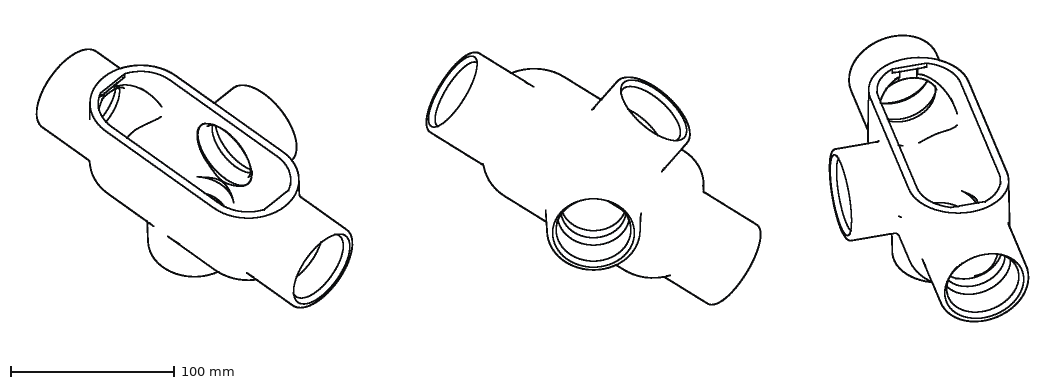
import cadquery as cq
import math


half_straight = 45.3
half_width = 31.75
wall = 5.08
rim_z = 34.36
base_z = -31.2
draft = 1.0
base_round = 12.7
cavity_half_width = half_width - wall
cavity_round = base_round - wall
floor_z = base_z + wall

lug_face_x = 69.0
lug_thickness = 3.2
slot_width = 11.5
slot_x = 73.0

hub_radius = 57.15 / 2
end_hub_x = 214.51 / 2
side_hub_y = 93.87 - half_width
base_hub_z = 95.22 - rim_z
base_hub_draft = 2.0
hub_edge_round = 1.75
base_hub_edge_round = 3.0
junction_round = 2.5

mouth_radius = 25.1
mouth_chamfer_depth = 3.4
thread_radius = 22.9
thread_end_radius = 22.1
thread_end_depth = 20.1
socket_depth = 25.2
throat_radius = 20.0
lip_round = 2.4

base_clearance_radius = 48.41 / 2
base_clearance_top_radius = 25.2
side_clearance_radius = 23.0
side_lip_y = 27.4

end_pocket_radius = -floor_z
end_pocket_round = 3.6
end_pocket_x = 73.0

seam_tolerance = 0.001


def obround_half(radius, height, rounding=0):
    """Obround prism from Z = 0 to the given height, tapering inwards."""
    half = (
        cq.Workplane("XY")
        .slot2D(2 * (half_straight + radius), 2 * radius)
        .extrude(height, taper=draft)
    )
    if rounding:
        half = half.faces("<Z").edges().fillet(rounding)
    return half


def drafted_obround(radius, top, bottom, rounding):
    upper = obround_half(radius, top)
    lower = obround_half(radius, bottom, rounding)
    return upper.union(lower)


def turned(profile, direction):
    """Revolve an (axial, radial) profile about the X axis, then aim it."""
    solid = profile.close().revolve(360, (0, 0, 0), (1, 0, 0))
    if direction == "-X":
        return solid.rotate((0, 0, 0), (0, 0, 1), 180)
    if direction == "+Y":
        return solid.rotate((0, 0, 0), (0, 0, 1), 90)
    if direction == "-Z":
        return solid.rotate((0, 0, 0), (0, 1, 0), 90)
    return solid


def hub_blank(reach, edge_round, taper_angle, direction):
    """Solid hub with a rounded outer edge, starting at the hub-axes crossing."""
    tangent_x = reach - edge_round
    root_radius = hub_radius + tangent_x * math.tan(math.radians(taper_angle))
    profile = (
        cq.Workplane("XZ")
        .lineTo(0, root_radius)
        .lineTo(tangent_x, hub_radius)
        .radiusArc((reach, hub_radius - edge_round), edge_round)
        .lineTo(reach, 0)
    )
    return turned(profile, direction)


def hub_bore(reach, lip_start, direction):
    """Tapered socket, throat and rounded inner lip of one hub."""
    throat_start = lip_start + lip_round
    profile = (
        cq.Workplane("XZ")
        .moveTo(lip_start, 0)
        .lineTo(lip_start, throat_radius + lip_round)
        .radiusArc((throat_start, throat_radius), -lip_round)
        .lineTo(reach - socket_depth, throat_radius)
        .lineTo(reach - thread_end_depth, thread_end_radius)
        .lineTo(reach - mouth_chamfer_depth, thread_radius)
        .lineTo(reach, mouth_radius)
        .lineTo(reach, 0)
    )
    return turned(profile, direction)


def clearance(start, start_radius, end, end_radius, direction):
    """Round cut, straight or tapered, between two distances along a hub axis."""
    profile = (
        cq.Workplane("XZ")
        .moveTo(start, 0)
        .lineTo(start, start_radius)
        .lineTo(end, end_radius)
        .lineTo(end, 0)
    )
    return turned(profile, direction)


def end_pocket(direction):
    tangent_x = end_pocket_x - end_pocket_round
    profile = (
        cq.Workplane("XZ")
        .moveTo(half_straight, 0)
        .lineTo(half_straight, end_pocket_radius)
        .lineTo(tangent_x, end_pocket_radius)
        .radiusArc((end_pocket_x, end_pocket_radius - end_pocket_round), end_pocket_round)
        .lineTo(end_pocket_x, 0)
    )
    return turned(profile, direction)


def add_hub(joined, box, hub):
    """Join a hub to the body and round the line where it meets the box."""
    joined = joined.union(hub)
    seam = []
    for edge in joined.edges().vals():
        samples = [cq.Vertex.makeVertex(*edge.positionAt(t).toTuple()) for t in (0.3, 0.5)]
        if all(side.distance(p) < seam_tolerance for side in (box.val(), hub.val()) for p in samples):
            seam.append(edge)
    return joined.newObject(seam).fillet(junction_round)


def make_cavity():
    """Obround cavity, less a flat-faced lug under each end of the rim."""
    cavity = drafted_obround(cavity_half_width, rim_z, floor_z, cavity_round)
    lug_z = rim_z - lug_thickness
    lug_length = half_straight + cavity_half_width - lug_face_x
    for side in (-1, 1):
        lug = (
            cq.Workplane("XY", origin=(side * (lug_face_x + lug_length / 2), 0, lug_z))
            .rect(lug_length, 2 * cavity_half_width)
            .extrude(lug_thickness)
        )
        cavity = cavity.cut(lug)
    slot = (
        cq.Workplane("XY")
        .rect(2 * slot_x, slot_width)
        .extrude(lug_z)
    )
    return cavity.union(slot)


box = drafted_obround(half_width, rim_z, base_z, base_round)
result = box
for direction in ("-X", "+X"):
    result = add_hub(result, box, hub_blank(end_hub_x, hub_edge_round, 0, direction))
result = add_hub(result, box, hub_blank(side_hub_y, hub_edge_round, 0, "+Y"))
result = add_hub(result, box, hub_blank(base_hub_z, base_hub_edge_round, base_hub_draft, "-Z"))

result = result.cut(make_cavity())
for direction in ("-X", "+X"):
    result = result.cut(end_pocket(direction))
    result = result.cut(hub_bore(end_hub_x, end_pocket_x, direction))

result = result.cut(clearance(0, side_clearance_radius, side_lip_y, side_clearance_radius, "+Y"))
result = result.cut(hub_bore(side_hub_y, side_lip_y, "+Y"))

floor_depth = -floor_z
clearance_start = floor_depth - cavity_round
result = result.cut(
    clearance(clearance_start, base_clearance_top_radius, floor_depth, base_clearance_radius, "-Z")
)
result = result.cut(hub_bore(base_hub_z, floor_depth, "-Z"))